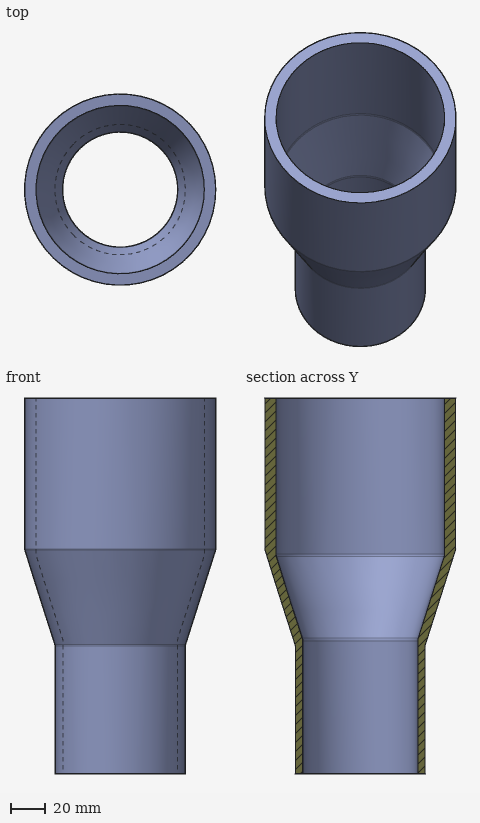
import cadquery as cq

small_length = 74.0
taper_length = 55.0
large_length = 87.0
total_length = small_length + taper_length + large_length

large_radius = 110.0 / 2
large_wall = 6.6
small_radius = 75.0 / 2
small_wall = 4.5

outer_blend = 2.0
bore_blend = 5.0

large_bore_radius = large_radius - large_wall
small_bore_radius = small_radius - small_wall

taper_slope = (large_radius - small_radius) / taper_length
bore_taper_length = (large_bore_radius - small_bore_radius) / taper_slope
taper_middle = small_length + taper_length / 2


def reducer_body(lower_radius, upper_radius, cone_length, blend_radius):
    """Full-height solid of revolution: two cylinders joined by a cone with blended corners."""
    cone_bottom = taper_middle - cone_length / 2
    cone_top = taper_middle + cone_length / 2
    outline = cq.Wire.makePolygon(
        [
            cq.Vector(0, 0, 0),
            cq.Vector(lower_radius, 0, 0),
            cq.Vector(lower_radius, 0, cone_bottom),
            cq.Vector(upper_radius, 0, cone_top),
            cq.Vector(upper_radius, 0, total_length),
            cq.Vector(0, 0, total_length),
        ],
        close=True,
    )
    cone_corners = [v for v in outline.Vertices() if 0 < v.Z < total_length]
    outline = outline.fillet2D(blend_radius, cone_corners)
    body = cq.Solid.revolve(outline, [], 360, cq.Vector(0, 0, 0), cq.Vector(0, 0, 1))
    return cq.Workplane(body)


outside = reducer_body(small_radius, large_radius, taper_length, outer_blend)
bore = reducer_body(small_bore_radius, large_bore_radius, bore_taper_length, bore_blend)

result = outside.cut(bore)